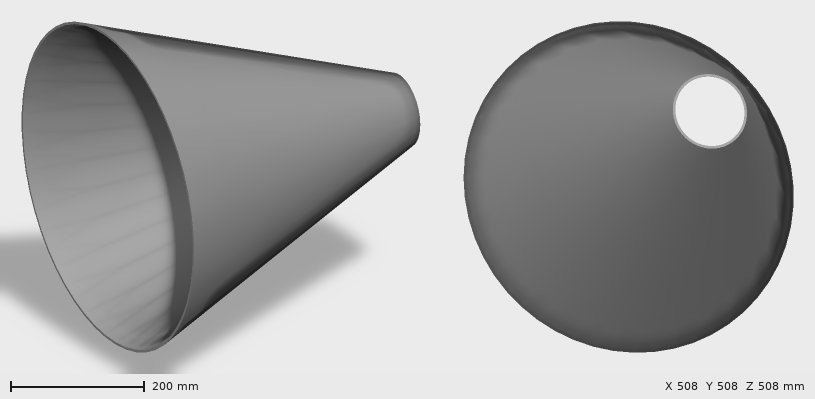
import cadquery as cq

length = 508.0
wide_diameter = 508.0
narrow_diameter = 114.5
wall = 4.0

wide_radius = wide_diameter / 2
narrow_radius = narrow_diameter / 2
wide_end = -length / 2
narrow_end = length / 2

wall_section = (
    cq.Workplane("XY")
    .moveTo(wide_radius - wall, wide_end)
    .lineTo(wide_radius, wide_end)
    .lineTo(narrow_radius, narrow_end)
    .lineTo(narrow_radius - wall, narrow_end)
    .close()
)

result = wall_section.revolve(360, (0, 0, 0), (0, 1, 0))